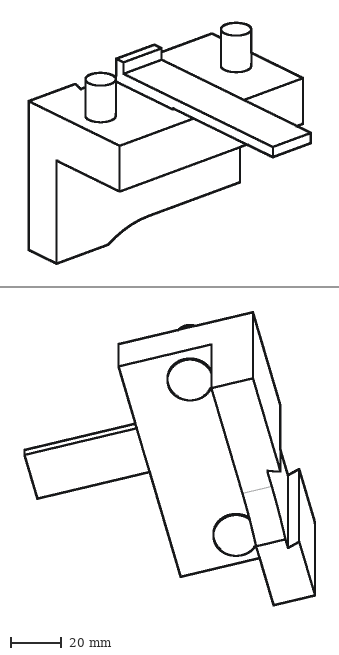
import cadquery as cq
import math

plate_length = 55.0
width = 96.0
plate_top = 65.0
plate_thickness = 20.0
leg_thickness = 17.0

relief_height = 6.0
relief_radius = 40.0

groove_center_y = -9.0
groove_mouth_width = 29.0
groove_floor_width = 32.0
groove_depth = 5.0

pin_diameter = 12.0
pin_projection = 16.0
pin_x = 29.0
pin_offset_y = 35.45
head_diameter = 18.0
head_projection = 1.0

bar_start_x = 9.0
bar_end_x = 103.5
bar_width = 20.0
bar_top_height = 5.0
bar_lip_height = 10.0
bar_lip_length = 4.5
bar_step_x = 43.3
bar_underside_step = 0.5


def make_bracket():
    """L-shaped body extruded symmetrically across its width."""
    plate_bottom = plate_top - plate_thickness
    outline = [
        (0, 0),
        (leg_thickness, 0),
        (leg_thickness, plate_bottom),
        (plate_length, plate_bottom),
        (plate_length, plate_top),
        (0, plate_top),
    ]
    return cq.Workplane("XZ").polyline(outline).close().extrude(width / 2, both=True)


def make_leg_relief():
    """Raised foot on the +Y side, blended down to the full-height foot by an arc tangent at Y = 0."""
    arc_center_z = relief_height - relief_radius
    arc_end_y = -math.sqrt(relief_radius**2 - arc_center_z**2)
    sweep_angle = math.asin(-arc_end_y / relief_radius)
    arc_middle = (
        -relief_radius * math.sin(sweep_angle / 2),
        arc_center_z + relief_radius * math.cos(sweep_angle / 2),
    )
    return (
        cq.Workplane("YZ")
        .moveTo(arc_end_y, 0)
        .threePointArc(arc_middle, (0, relief_height))
        .lineTo(width / 2, relief_height)
        .lineTo(width / 2, 0)
        .close()
        .extrude(leg_thickness)
    )


def make_dovetail_groove():
    """Full-height groove that widens from its mouth to its floor."""
    half_mouth = groove_mouth_width / 2
    half_floor = groove_floor_width / 2
    outline = [
        (0, groove_center_y - half_mouth),
        (groove_depth, groove_center_y - half_floor),
        (groove_depth, groove_center_y + half_floor),
        (0, groove_center_y + half_mouth),
    ]
    return cq.Workplane("XY").polyline(outline).close().extrude(plate_top)


def make_pin(y):
    """Pin above the plate with a shallow round head below, sharing one axis."""
    plate_bottom = plate_top - plate_thickness
    head_bottom = plate_bottom - head_projection
    pin_length = plate_top + pin_projection - head_bottom
    base = cq.Workplane("XY", origin=(pin_x, y, head_bottom))
    shank = base.circle(pin_diameter / 2).extrude(pin_length)
    head = base.circle(head_diameter / 2).extrude(head_projection)
    return shank.union(head)


def make_bar():
    """Lipped bar whose underside steps up slightly towards its free end."""
    bar_top = plate_top + bar_top_height
    lip_top = plate_top + bar_lip_height
    lip_end_x = bar_start_x + bar_lip_length
    raised_underside = plate_top + bar_underside_step
    outline = [
        (bar_start_x, plate_top),
        (bar_step_x, plate_top),
        (bar_step_x, raised_underside),
        (bar_end_x, raised_underside),
        (bar_end_x, bar_top),
        (lip_end_x, bar_top),
        (lip_end_x, lip_top),
        (bar_start_x, lip_top),
    ]
    return cq.Workplane("XZ").polyline(outline).close().extrude(bar_width / 2, both=True)


result = make_bracket().cut(make_leg_relief()).cut(make_dovetail_groove())
for pin_y in (-pin_offset_y, pin_offset_y):
    result = result.union(make_pin(pin_y))
result = result.union(make_bar())